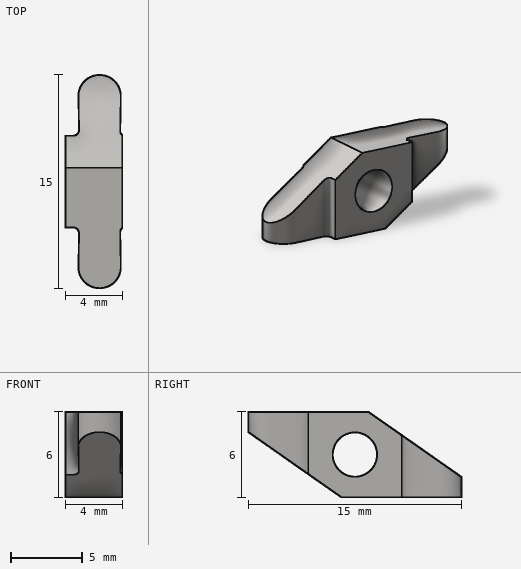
import cadquery as cq
import math

LENGTH = 15.0
HEIGHT = 6.0
BODY_WIDTH = 4.0
BODY_LENGTH = 6.46
TIP_RADIUS = 1.5
TIP_CENTER_X = 0.4
NECK_LEFT_X = -1.05
NECK_RIGHT_X = 1.86
LEFT_FILLET_RADIUS = 0.4
RIGHT_FILLET_RADIUS = 0.3
SLOPE_ANGLE = 35.0
TIP_HEIGHT = 1.42
HOLE_DIAMETER = 3.1

half_length = LENGTH / 2
half_height = HEIGHT / 2
half_body_width = BODY_WIDTH / 2
half_body_length = BODY_LENGTH / 2


def plan_outline():
    """Body and the +Y arm, laid out on the bottom plane and closed along y = 0."""
    tip_center_y = half_length - TIP_RADIUS

    left_center_x = NECK_LEFT_X - LEFT_FILLET_RADIUS
    left_center_y = half_body_length + LEFT_FILLET_RADIUS
    diagonal = LEFT_FILLET_RADIUS * math.sqrt(0.5)
    left_mid = (left_center_x + diagonal, left_center_y - diagonal)

    right_center_x = NECK_RIGHT_X + RIGHT_FILLET_RADIUS
    right_center_y = half_body_length + RIGHT_FILLET_RADIUS
    end_angle = math.acos((right_center_x - half_body_width) / RIGHT_FILLET_RADIUS)

    def right_fillet_point(angle):
        return (
            right_center_x - RIGHT_FILLET_RADIUS * math.cos(angle),
            right_center_y - RIGHT_FILLET_RADIUS * math.sin(angle),
        )

    return (
        cq.Workplane("XY", origin=(0, 0, -half_height))
        .moveTo(-half_body_width, 0)
        .lineTo(-half_body_width, half_body_length)
        .lineTo(left_center_x, half_body_length)
        .threePointArc(left_mid, (NECK_LEFT_X, left_center_y))
        .lineTo(TIP_CENTER_X - TIP_RADIUS, tip_center_y)
        .threePointArc((TIP_CENTER_X, half_length), (TIP_CENTER_X + TIP_RADIUS, tip_center_y))
        .lineTo(NECK_RIGHT_X, right_center_y)
        .threePointArc(right_fillet_point(end_angle / 2), right_fillet_point(end_angle))
        .lineTo(half_body_width, 0)
        .close()
    )


def plan_body():
    """Full-height prism with an arm at each end."""
    half = plan_outline().extrude(HEIGHT)
    return half.union(half.mirror("XZ")).clean()


def side_envelope():
    """Six-sided side profile with opposite corners sloped away, as a prism along X."""
    slope_run = (HEIGHT - TIP_HEIGHT) / math.tan(math.radians(SLOPE_ANGLE))
    slope_start = half_length - slope_run
    tip_level = half_height - TIP_HEIGHT
    return (
        cq.Workplane("YZ", origin=(-half_body_width, 0, 0))
        .polyline([
            (-half_length, half_height),
            (slope_start, half_height),
            (half_length, -tip_level),
            (half_length, -half_height),
            (-slope_start, -half_height),
            (-half_length, tip_level),
        ])
        .close()
        .extrude(BODY_WIDTH)
    )


def pivot_hole():
    """Through hole along X."""
    return (
        cq.Workplane("YZ", origin=(-half_body_width, 0, 0))
        .circle(HOLE_DIAMETER / 2)
        .extrude(BODY_WIDTH)
    )


result = plan_body().intersect(side_envelope()).cut(pivot_hole())